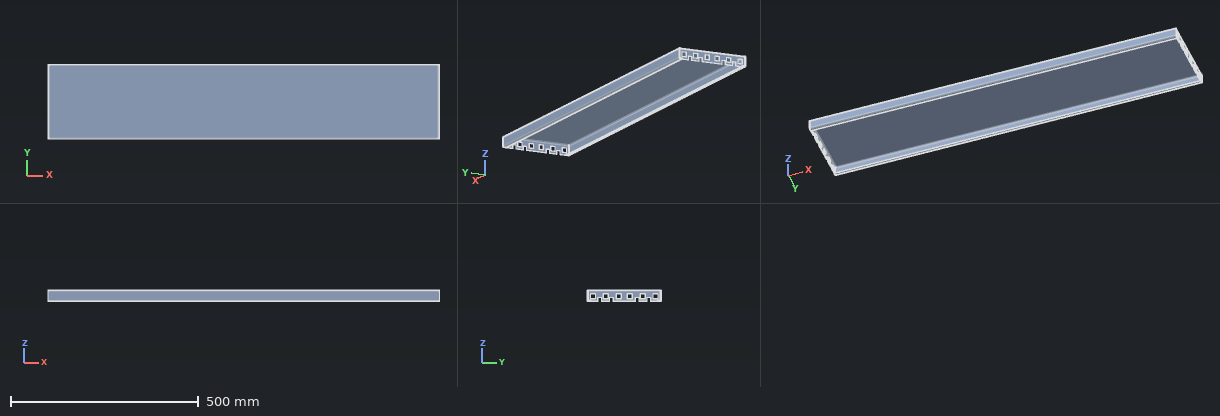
import cadquery as cq

length = 1044
width = 199.0
height = 30.0
sheet = 1.6
bend_radius = 3.0
flange_width = 10.0

window_width = 13.0
window_height = 13.0
window_sill = 7.5
window_offsets = [15.0, 49.0, 84.0]
notch_width = 9.0
notch_height = 10.0
notch_offsets = [34.0, 66.0]

end_inset = 0.5
flange_clearance = 1.6

mid_height = height / 2
inner_radius = bend_radius - sheet
end_wall_width = width - 2 * bend_radius
end_wall_length = length - 2 * end_inset


def block(x_size, y_size, z_size, bottom=0.0, y=0.0):
    """A block centred on X = 0 and on the given Y, standing on the given height."""
    solid = cq.Workplane("XY").box(x_size, y_size, z_size, centered=(True, True, False))
    return solid.translate((0, y, bottom))


def side_channel():
    """Deck, side walls and bottom flanges: one C-shaped section along X."""
    outside = block(length, width, height).edges("|X").fillet(bend_radius)
    inside = block(length, width - 2 * sheet, height - 2 * sheet, sheet).edges("|X").fillet(inner_radius)
    opening = block(length, width - 2 * flange_width, mid_height)
    return outside.cut(inside).cut(opening)


def deck_with_end_walls():
    """Deck between the side bends, bent down at both ends."""
    outside = block(end_wall_length, end_wall_width, height)
    outside = outside.edges("|Y and >Z").fillet(bend_radius)
    inside = block(end_wall_length - 2 * sheet, end_wall_width, height - sheet)
    inside = inside.edges("|Y and >Z").fillet(inner_radius)
    return outside.cut(inside)


def cut_end_walls(walls):
    """Windows, notches and flange clearances; each cutter passes through both end walls."""
    clearance_height = sheet + flange_clearance
    clearance_offset = (width - flange_width) / 2
    for side in (-1, 1):
        for offset in window_offsets:
            walls = walls.cut(block(length, window_width, window_height, window_sill, side * offset))
        for offset in notch_offsets:
            walls = walls.cut(block(length, notch_width, notch_height, 0, side * offset))
        walls = walls.cut(block(length, flange_width, clearance_height, 0, side * clearance_offset))
    return walls


channel = side_channel().cut(block(length, end_wall_width, mid_height, mid_height))
result = channel.union(cut_end_walls(deck_with_end_walls()))